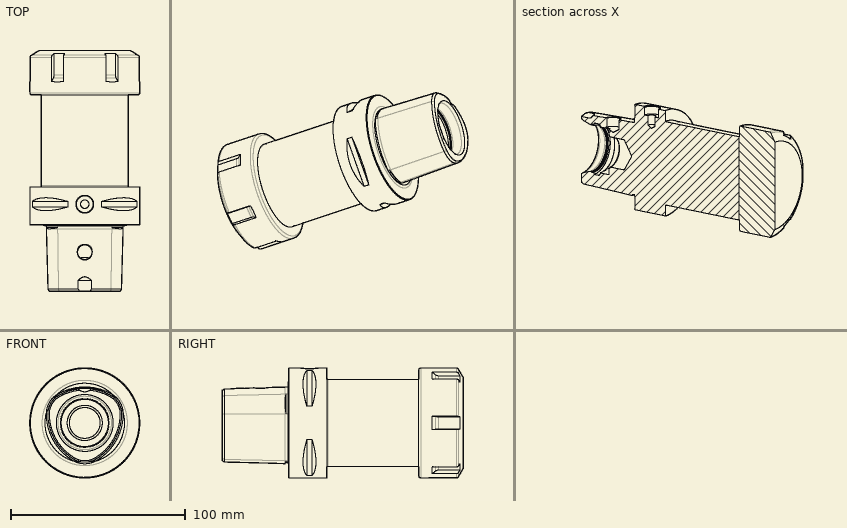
import cadquery as cq
import math


head_diameter = 63.0
body_radius = 25.0
flange_length = 22.0
flange_edge_chamfer = 0.4
body_foot_length = 0.7
body_foot_flare = 0.1
pad_height = 0.4
pad_radius = 22.8
pad_foot_radius = 24.4

shank_length = 38.0
polygon_width = 44.0
corner_offset = 10.4
shank_taper = 1 / 40
shank_tip_length = 1.4
shank_tip_inset = 0.8
root_length = 2.1
relief_radius = 22.6
relief_length = 1.4

bore_mouth_radius = 16.3
bore_cone_radius = 15.3
bore_lip_radius = 13.8
bore_mouth_depth = 1.7
bore_lip_depth = 6.3
bore_lip_length = 1.1
bore_ring_width = 0.7
bore_ring_radius = 14.2
bore_groove_radius = 15.2
bore_groove_width = 3.2
bore_radius = 13.5
bore_edge_depth = 13.7
bore_depth = 19.3
pilot_mouth_radius = 10.1
pilot_radius = 8.8
pilot_length = 11.0
drill_half_angle = 59.0

shank_hole_y = -15.5
shank_hole_radius = 4.1
shank_hole_countersink = 0.35
shank_hole_top = 20.1
shank_hole_floor = 14.5
datum_y = 12.0
flange_hole_radius = 4.8
flange_hole_countersink = 0.3
flange_hole_floor = 26.4
flange_pilot_diameter = 4.8
flange_pilot_floor = 20.7
tip_notch_radius = 5.0
tip_notch_floor = 17.8
tip_notch_length = 6.3
gripper_floor = 28.0
gripper_floor_width = 3.0
gripper_wall_angle = 32.0
gripper_count = 4

nut_length = 25.5
tool_length = 100.0
nut_face_diameter = 52.0
nut_cone_angle = 30.0
nut_round = 1.4
nut_back_round = 1.2
spanner_count = 6
spanner_width = 7.7
spanner_floor_width = 7.0
spanner_floor = 29.1
spanner_floor_length = 14.2
spanner_end_radius = 2.6
spanner_end_angle = 40.0

head_radius = head_diameter / 2
nut_face_radius = nut_face_diameter / 2
flange_pilot_radius = flange_pilot_diameter / 2
corner_spacing = corner_offset * math.sqrt(3)
corner_radius = (polygon_width - corner_spacing) / 2
nut_back_y = tool_length - nut_length
bore_mouth_y = -shank_length


def turned(points):
    """Solid of revolution about Y from a closed (radius, y) outline."""
    return cq.Workplane("XY").polyline(points).close().revolve(360, (0, 0, 0), (0, 1, 0))


def drill_point(radius):
    """Length of the conical end that a drill of this radius leaves."""
    return radius / math.tan(math.radians(drill_half_angle))


def flange_and_body():
    pad_arc_radius = ((pad_foot_radius - pad_radius) ** 2 + pad_height ** 2) / (2 * pad_height)
    profile = (
        cq.Workplane("XY")
        .moveTo(0, -pad_height)
        .lineTo(pad_radius, -pad_height)
        .radiusArc((pad_foot_radius, 0), pad_arc_radius)
        .lineTo(head_radius - flange_edge_chamfer, 0)
        .lineTo(head_radius, flange_edge_chamfer)
        .lineTo(head_radius, flange_length)
        .lineTo(body_radius + body_foot_flare, flange_length)
        .lineTo(body_radius, flange_length + body_foot_length)
        .lineTo(body_radius, nut_back_y)
        .lineTo(0, nut_back_y)
        .close()
    )
    return profile.revolve(360, (0, 0, 0), (0, 1, 0))


def polygon_wire(y, inset):
    """Three-lobed outline of constant width, as six tangent arcs, at one place along Y."""
    corner = corner_radius - inset
    side = corner + corner_spacing

    def around(centre_angle, radius, direction):
        """Point at a radius and direction from a corner arc centre."""
        a = math.radians(centre_angle)
        b = math.radians(direction)
        x = corner_offset * math.cos(a) + radius * math.cos(b)
        z = corner_offset * math.sin(a) + radius * math.sin(b)
        return cq.Vector(x, y, z)

    edges = []
    for lobe in (-90, 30, 150):
        corner_arc = [around(lobe, corner, lobe + turn) for turn in (-30, 0, 30)]
        side_arc = [around(lobe, side, lobe + turn) for turn in (150, 180, 210)]
        edges.append(cq.Edge.makeThreePointArc(*corner_arc))
        edges.append(cq.Edge.makeThreePointArc(*side_arc))
    return cq.Wire.assembleEdges(edges)


def polygon_section(start, end):
    """Straight loft between two (y, inset) stations of the polygon."""
    wires = [polygon_wire(*start), polygon_wire(*end)]
    return cq.Workplane(cq.Solid.makeLoft(wires, True))


def shank():
    tip_y = shank_tip_length - shank_length
    tip_inset = shank_taper * -tip_y
    root = polygon_section((0, 0), (-root_length, 0))
    lobe_radius = corner_radius + corner_offset
    relief_trim = turned([
        (0, 0),
        (relief_radius, 0),
        (relief_radius, -relief_length),
        (lobe_radius, -root_length),
        (0, -root_length),
    ])
    main = polygon_section((-root_length, 0), (tip_y, tip_inset))
    tip = polygon_section((tip_y, tip_inset), (-shank_length, tip_inset + shank_tip_inset))
    return root.intersect(relief_trim).union(main).union(tip)


def shank_bore():
    """Tapered mouth, two lips, a groove with a sloping far side, then the bore and its pilot."""
    ring_start = bore_lip_depth + bore_lip_length
    ring_end = ring_start + bore_ring_width
    groove_start = ring_end + bore_lip_length
    groove_end = groove_start + bore_groove_width
    pilot_start = bore_depth + pilot_mouth_radius - pilot_radius
    pilot_end = bore_depth + pilot_length
    depths = [
        (0, 0),
        (bore_mouth_radius, 0),
        (bore_cone_radius, bore_mouth_depth),
        (bore_lip_radius, bore_lip_depth),
        (bore_lip_radius, ring_start),
        (bore_ring_radius, ring_start),
        (bore_ring_radius, ring_end),
        (bore_lip_radius, ring_end),
        (bore_lip_radius, groove_start),
        (bore_groove_radius, groove_start),
        (bore_groove_radius, groove_end),
        (bore_radius, bore_edge_depth),
        (bore_radius, bore_depth),
        (pilot_mouth_radius, bore_depth),
        (pilot_radius, pilot_start),
        (pilot_radius, pilot_end),
        (0, pilot_end + drill_point(pilot_radius)),
    ]
    return turned([(radius, bore_mouth_y + depth) for radius, depth in depths])


def radial_hole(y, points):
    """Round cutter along Z from a closed (radius, z) outline."""
    return (
        cq.Workplane("XZ")
        .polyline(points)
        .close()
        .revolve(360, (0, 0, 0), (0, 1, 0))
        .translate((0, y, 0))
    )


def shank_hole():
    mouth_radius = shank_hole_radius + shank_hole_countersink
    return radial_hole(shank_hole_y, [
        (0, head_radius),
        (mouth_radius, head_radius),
        (mouth_radius, shank_hole_top),
        (shank_hole_radius, shank_hole_top - shank_hole_countersink),
        (shank_hole_radius, shank_hole_floor),
        (0, shank_hole_floor - drill_point(shank_hole_radius)),
    ])


def flange_hole():
    mouth_radius = flange_hole_radius + flange_hole_countersink
    mouth_z = math.sqrt(head_radius ** 2 - mouth_radius ** 2)
    return radial_hole(datum_y, [
        (0, head_radius),
        (mouth_radius, head_radius),
        (mouth_radius, mouth_z),
        (flange_hole_radius, mouth_z - flange_hole_countersink),
        (flange_hole_radius, flange_hole_floor),
        (flange_pilot_radius, flange_hole_floor),
        (flange_pilot_radius, flange_pilot_floor),
        (0, flange_pilot_floor - drill_point(flange_pilot_radius)),
    ])


def tip_notch():
    """Round-bottomed keyway in the shank tip; its conical end rises at 45 degrees."""
    end_y = tip_notch_length - shank_length
    cutter = turned([
        (0, -shank_length),
        (tip_notch_radius, -shank_length),
        (tip_notch_radius, end_y),
        (0, end_y + tip_notch_radius),
    ])
    return cutter.translate((0, 0, tip_notch_floor + tip_notch_radius))


def gripper_slot():
    """Straight flat-bottomed slot with leaning sides, cut across the +Z side of the flange."""
    half_floor = gripper_floor_width / 2
    rise = head_radius - gripper_floor
    half_mouth = half_floor + rise * math.tan(math.radians(gripper_wall_angle))
    return (
        cq.Workplane("YZ")
        .polyline([
            (datum_y - half_floor, gripper_floor),
            (datum_y + half_floor, gripper_floor),
            (datum_y + half_mouth, head_radius),
            (datum_y - half_mouth, head_radius),
        ])
        .close()
        .extrude(head_radius, both=True)
    )


def make_holder():
    holder = flange_and_body().union(shank())
    holder = holder.cut(shank_bore()).cut(shank_hole()).cut(flange_hole()).cut(tip_notch())
    for i in range(gripper_count):
        angle = 360 / gripper_count * (i + 0.5)
        holder = holder.cut(gripper_slot().rotate((0, 0, 0), (0, 1, 0), angle))
    return holder


def nut_blank():
    cone_height = (head_radius - nut_face_radius) * math.tan(math.radians(nut_cone_angle))
    cone_y = tool_length - cone_height
    blank = turned([
        (0, nut_back_y),
        (head_radius, nut_back_y),
        (head_radius, cone_y),
        (nut_face_radius, tool_length),
        (0, tool_length),
    ])
    cone_edge = cq.selectors.BoxSelector(
        (-head_radius, cone_y - nut_round, -head_radius),
        (head_radius, cone_y + nut_round, head_radius),
    )
    return blank.edges(cone_edge).fillet(nut_round).faces("<Y").edges().fillet(nut_back_round)


def spanner_slot():
    """Slot on the -X side, open at the nut face, with leaning side walls and a rounded run-out."""
    lean = math.radians(spanner_end_angle)
    floor_end_y = tool_length - spanner_floor_length
    arc_end_x = spanner_floor + spanner_end_radius * (1 - math.cos(lean))
    arc_end_y = floor_end_y - spanner_end_radius * math.sin(lean)
    rim_y = arc_end_y - (head_radius - arc_end_x) / math.tan(lean)
    side_profile = (
        cq.Workplane("XY")
        .moveTo(-spanner_floor, tool_length)
        .lineTo(-spanner_floor, floor_end_y)
        .radiusArc((-arc_end_x, arc_end_y), spanner_end_radius)
        .lineTo(-head_radius, rim_y)
        .lineTo(-head_radius, tool_length)
        .close()
        .extrude(spanner_width / 2, both=True)
    )
    mouth_x = math.sqrt(head_radius ** 2 - (spanner_width / 2) ** 2)
    cross_section = (
        cq.Workplane("XZ", origin=(0, tool_length, 0))
        .polyline([
            (-spanner_floor, -spanner_floor_width / 2),
            (-spanner_floor, spanner_floor_width / 2),
            (-mouth_x, spanner_width / 2),
            (-head_radius, spanner_width / 2),
            (-head_radius, -spanner_width / 2),
            (-mouth_x, -spanner_width / 2),
        ])
        .close()
        .extrude(nut_length)
    )
    return side_profile.intersect(cross_section)


def make_nut():
    nut = nut_blank()
    for i in range(spanner_count):
        nut = nut.cut(spanner_slot().rotate((0, 0, 0), (0, 1, 0), 360 / spanner_count * i))
    return nut


holder = make_holder()
nut = make_nut()
result = cq.Compound.makeCompound([holder.val(), nut.val()])